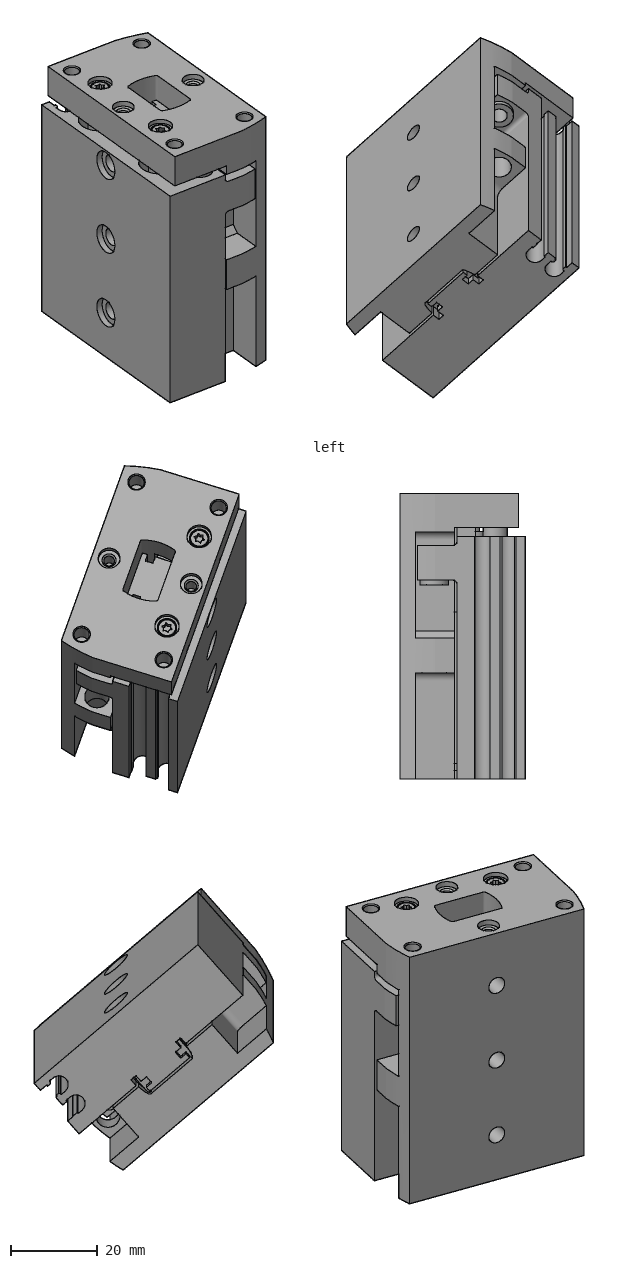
import cadquery as cq
import math

TOTAL_HEIGHT = 66.0
TOTAL_DEPTH = 29.0
HOUSING_WIDTH = 50.0
HOUSING_HALF = HOUSING_WIDTH / 2
HOUSING_HEIGHT = 56.05
HOUSING_BACK_Y = 15.85

END_PLATE_BOTTOM_Z = 58.1
END_PLATE_FRONT_Y = 1.6
SLIDE_FRONT_Y = 16.45
SLIDE_HALF = 24.7
FLANK_START_Y = 20.8
FLANK_MID_Y = 24.95
FLANK_MID_HALF = 24.0
BACK_HALF = 23.0

POCKET_BACK_Y = 25.4
POCKET_INNER_X = 15.1
POCKET_CORNER_RADIUS = 1.8
POCKET_CHAMFER = 1.6
LEFT_POCKET_TOP_Z = 57.0
RIGHT_POCKET_TOP_Z = 55.8
RIB_TOP_Z = 32.6
RIB_BOTTOM_Z = 24.55

GUIDE_BACK_Y = 19.55
GUIDE_FRONT_Y = 11.0
GUIDE_END_HALF = 6.6
GUIDE_MID_HALF = 7.4
GUIDE_CORNER_RADIUS = 0.5
RAIL_HALF = 6.1
RAIL_FRONT_Y = 11.55
RAIL_BACK_Y = 18.95
RAIL_TOP_Z = 59.8
RACE_FRONT_Y = 15.85
RACE_BACK_Y = 17.7
RACE_HALF = 4.4
TRENCH_HALF = 7.6
TRENCH_FLOOR_Y = 14.05
RUNNER_FRONT_Y = 14.45
RUNNER_TOP_Z = 38.55
RUNNER_BOTTOM_Z = 3.55
SEAL_BOTTOM_Z = 2.05
SEAL_HALF = 6.85

MOUNT_X = 20.0
MOUNT_FRONT_Y = 5.0
MOUNT_BACK_Y = MOUNT_FRONT_Y + MOUNT_X
MOUNT_DIA = 3.5
MOUNT_MOUTH_DIA = 4.0
PLATE_HOLE_DEPTH = 5.95
DOWEL_RECESS_DIA = 5.0
DOWEL_RECESS_DEPTH = 1.3
DOWEL_MOUTH_DIA = 3.25
DOWEL_DIA = 2.45

ROD_X = 11.75
ROD_Y = 7.0
ROD_DIA = 5.6
ROD_END_Z = 46.2
CYLINDER_DIA = 10.0
CYLINDER_DEPTH = 5.55
SCREW_RECESS_DIA = 5.6
SCREW_RECESS_DEPTH = 1.05
SCREW_SEAT_DIA = 4.5
SCREW_HEAD_DIA = 4.0
SCREW_GROOVE_DEPTH = 0.4
STAR_OUTER_DIA = 2.45
STAR_INNER_DIA = 1.6
STAR_LOBES = 6
STAR_DEPTH = 1.3

BOLT_ROW_PITCH = 20.0
BOLT_MID_Z = 32.0
BOLT_DIA = 4.15
BOLT_HEAD_DIA = 7.0
BOLT_HEAD_DEPTH = 1.5

SLOT_DIA = 4.15
SLOT_CENTER_X = -20.85
SLOT_SHOULDER_X = -22.05
REAR_SLOT_Y = 9.95
REAR_SLOT_MOUTH = 3.5
REAR_LIP_WIDTH = 3.7
FRONT_SLOT_Y = 4.0
FRONT_SLOT_MOUTH = 2.9
FRONT_LIP_WIDTH = 3.6
FRONT_LIP_X = -23.1
LAND_X = -23.4

EAR_BACK_Y = 24.9
EAR_BACK_HALF = 24.3
EAR_MID_Y = 23.0
EAR_MID_HALF = 24.7
EAR_INNER_X = 15.2
EAR_BOTTOM_Z = 45.95
EAR_TOP_Z = 54.0
EAR_FILLET = 0.9
ABSORBER_X = -20.7
ABSORBER_Y = 21.05
ABSORBER_DIA = 6.6
ABSORBER_DROP = 1.05
RIB_HOLE_DIA = 5.6
ABSORBER_BORE_DIA = 3.7

STOP_X = MOUNT_X
STOP_Y = 12.2
STOP_DIA = 6.0
STOP_TOP_Z = 57.2
STOP_TIP_DIA = 3.25


def block(x0, x1, y0, y1, z0, z1):
    return cq.Workplane("XY").box(x1 - x0, y1 - y0, z1 - z0, centered=False).translate((x0, y0, z0))


def upright(x, y, diameter, z0, z1):
    return cq.Workplane("XY", origin=(x, y, z0)).circle(diameter / 2).extrude(z1 - z0)


def cone(x, y, top_diameter, bottom_diameter, top_z):
    """A 45 degree countersink whose wide end lies at top_z."""
    depth = (top_diameter - bottom_diameter) / 2
    return (
        cq.Workplane("XY", origin=(x, y, top_z))
        .circle(top_diameter / 2)
        .workplane(offset=-depth)
        .circle(bottom_diameter / 2)
        .loft()
    )


def bolt_holes(diameter, y0, y1):
    """Three holes along Y, one above the other on the centre line."""
    holes = cq.Workplane("XY")
    for row in (-1, 0, 1):
        hole = cq.Workplane("XZ", origin=(0, y1, BOLT_MID_Z + row * BOLT_ROW_PITCH))
        holes = holes.add(hole.circle(diameter / 2).extrude(y1 - y0))
    return holes.combine()


def slide_outline(front_y):
    """Plan outline with straight sides and curved flanks that narrow to the back."""
    return (
        cq.Workplane("XY")
        .moveTo(-SLIDE_HALF, front_y)
        .lineTo(SLIDE_HALF, front_y)
        .lineTo(SLIDE_HALF, FLANK_START_Y)
        .threePointArc((FLANK_MID_HALF, FLANK_MID_Y), (BACK_HALF, TOTAL_DEPTH))
        .lineTo(-BACK_HALF, TOTAL_DEPTH)
        .threePointArc((-FLANK_MID_HALF, FLANK_MID_Y), (-SLIDE_HALF, FLANK_START_Y))
        .close()
    )


def guide_prism(z0, z1):
    """Barrel-shaped prism with two bulging sides, centred on the guide."""
    mid_y = (GUIDE_FRONT_Y + GUIDE_BACK_Y) / 2
    return (
        cq.Workplane("XY", origin=(0, 0, z0))
        .moveTo(-GUIDE_END_HALF, GUIDE_FRONT_Y)
        .lineTo(GUIDE_END_HALF, GUIDE_FRONT_Y)
        .threePointArc((GUIDE_MID_HALF, mid_y), (GUIDE_END_HALF, GUIDE_BACK_Y))
        .lineTo(-GUIDE_END_HALF, GUIDE_BACK_Y)
        .threePointArc((-GUIDE_MID_HALF, mid_y), (-GUIDE_END_HALF, GUIDE_FRONT_Y))
        .close()
        .extrude(z1 - z0)
        .edges("|Z")
        .fillet(GUIDE_CORNER_RADIUS)
    )


def runner():
    """Two legs that straddle the rail, with a tongue each in the rail's races."""
    legs = guide_prism(RUNNER_BOTTOM_Z, RUNNER_TOP_Z)
    seal = guide_prism(SEAL_BOTTOM_Z, RUNNER_BOTTOM_Z)
    seal = seal.intersect(
        block(-SEAL_HALF, SEAL_HALF, GUIDE_FRONT_Y, GUIDE_BACK_Y, SEAL_BOTTOM_Z, RUNNER_BOTTOM_Z)
    )
    legs = legs.union(seal)
    legs = legs.cut(block(-RAIL_HALF, RAIL_HALF, GUIDE_FRONT_Y, GUIDE_BACK_Y, 0, TOTAL_HEIGHT))
    legs = legs.cut(block(-HOUSING_HALF, HOUSING_HALF, 0, RUNNER_FRONT_Y, 0, TOTAL_HEIGHT))
    for x0, x1 in ((-RAIL_HALF, -RACE_HALF), (RACE_HALF, RAIL_HALF)):
        legs = legs.union(block(x0, x1, RACE_FRONT_Y, RACE_BACK_Y, SEAL_BOTTOM_Z, RUNNER_TOP_Z))
    return legs


def left_pocket(z0, z1):
    return block(-HOUSING_WIDTH, -POCKET_INNER_X, 0, POCKET_BACK_Y, z0, z1)


def pocket_pair(top_z):
    """The pockets above and below the rib on the left, with rounded and chamfered inner corners."""
    upper = left_pocket(RIB_TOP_Z, top_z)
    upper = upper.edges("|Y and >X and >Z").fillet(POCKET_CORNER_RADIUS)
    upper = upper.edges("|Y and >X and <Z").chamfer(POCKET_CHAMFER)
    lower = left_pocket(0, RIB_BOTTOM_Z)
    lower = lower.edges("|Y and >X and >Z").fillet(POCKET_CORNER_RADIUS)
    pockets = upper.union(lower)
    return pockets.intersect(
        block(-HOUSING_WIDTH, 0, SLIDE_FRONT_Y, POCKET_BACK_Y, 0, top_z)
    )


def star_socket(x, y, top_z):
    points = []
    for i in range(2 * STAR_LOBES):
        radius = (STAR_OUTER_DIA if i % 2 == 0 else STAR_INNER_DIA) / 2
        angle = math.pi / 2 + i * math.pi / STAR_LOBES
        points.append((radius * math.cos(angle), radius * math.sin(angle)))
    return cq.Workplane("XY", origin=(x, y, top_z)).polyline(points).close().extrude(-STAR_DEPTH)


def cut_plate_holes(body):
    hole_bottom = TOTAL_HEIGHT - PLATE_HOLE_DEPTH
    for y in (MOUNT_FRONT_Y, MOUNT_BACK_Y):
        for x in (-MOUNT_X, MOUNT_X):
            body = body.cut(upright(x, y, MOUNT_DIA, hole_bottom, TOTAL_HEIGHT))
            body = body.cut(cone(x, y, MOUNT_MOUTH_DIA, MOUNT_DIA, TOTAL_HEIGHT))
        recess_z = TOTAL_HEIGHT - DOWEL_RECESS_DEPTH
        body = body.cut(upright(0, y, DOWEL_RECESS_DIA, recess_z, TOTAL_HEIGHT))
        body = body.cut(cone(0, y, DOWEL_MOUTH_DIA, DOWEL_DIA, recess_z))
        body = body.cut(upright(0, y, DOWEL_DIA, hole_bottom, recess_z))
    return body


def add_rod(body, x):
    """A piston rod under the end plate, held by a sunk screw with a star socket."""
    seat_z = TOTAL_HEIGHT - SCREW_RECESS_DEPTH
    body = body.union(upright(x, ROD_Y, ROD_DIA, ROD_END_Z, END_PLATE_BOTTOM_Z))
    body = body.cut(upright(x, ROD_Y, SCREW_RECESS_DIA, seat_z, TOTAL_HEIGHT))
    groove = upright(x, ROD_Y, SCREW_SEAT_DIA, seat_z - SCREW_GROOVE_DEPTH, seat_z)
    groove = groove.cut(upright(x, ROD_Y, SCREW_HEAD_DIA, seat_z - SCREW_GROOVE_DEPTH, seat_z))
    return body.cut(groove).cut(star_socket(x, ROD_Y, seat_z))


def make_slide():
    body = slide_outline(SLIDE_FRONT_Y).extrude(TOTAL_HEIGHT)
    end_plate = slide_outline(END_PLATE_FRONT_Y).extrude(TOTAL_HEIGHT - END_PLATE_BOTTOM_Z)
    body = body.union(end_plate.translate((0, 0, END_PLATE_BOTTOM_Z)))
    body = body.cut(guide_prism(0, TOTAL_HEIGHT)).union(runner())
    body = body.cut(pocket_pair(LEFT_POCKET_TOP_Z))
    body = body.cut(pocket_pair(RIGHT_POCKET_TOP_Z).mirror("YZ"))
    body = body.cut(upright(ABSORBER_X, ABSORBER_Y, RIB_HOLE_DIA, RIB_BOTTOM_Z, RIB_TOP_Z))
    body = cut_plate_holes(body)
    for x in (-ROD_X, ROD_X):
        body = add_rod(body, x)
    return body.cut(bolt_holes(BOLT_DIA, GUIDE_BACK_Y, TOTAL_DEPTH))


def slot_stretch(x0, x1, y, width):
    return block(x0, x1, y - width / 2, y + width / 2, 0, HOUSING_HEIGHT)


def sensor_slot(y, mouth, lip_width, lip_x):
    """A slot along Z with a round bottom, entered from the left through a narrower stepped mouth."""
    slot = upright(SLOT_CENTER_X, y, SLOT_DIA, 0, HOUSING_HEIGHT)
    slot = slot.union(slot_stretch(SLOT_SHOULDER_X, SLOT_CENTER_X, y, SLOT_DIA))
    slot = slot.union(slot_stretch(lip_x, SLOT_SHOULDER_X, y, mouth))
    return slot.union(slot_stretch(-HOUSING_HALF, lip_x, y, lip_width))


def cut_sensor_slots(body):
    body = body.cut(block(-HOUSING_HALF, LAND_X, FRONT_SLOT_Y, REAR_SLOT_Y, 0, HOUSING_HEIGHT))
    body = body.cut(sensor_slot(REAR_SLOT_Y, REAR_SLOT_MOUTH, REAR_LIP_WIDTH, LAND_X))
    return body.cut(sensor_slot(FRONT_SLOT_Y, FRONT_SLOT_MOUTH, FRONT_LIP_WIDTH, FRONT_LIP_X))


def left_ear():
    """A lug behind the housing with fillets above and below its root."""
    side = (
        cq.Workplane("YZ", origin=(-HOUSING_HALF, 0, 0))
        .moveTo(HOUSING_BACK_Y, EAR_BOTTOM_Z - EAR_FILLET)
        .radiusArc((HOUSING_BACK_Y + EAR_FILLET, EAR_BOTTOM_Z), EAR_FILLET)
        .lineTo(EAR_BACK_Y, EAR_BOTTOM_Z)
        .lineTo(EAR_BACK_Y, EAR_TOP_Z)
        .lineTo(HOUSING_BACK_Y + EAR_FILLET, EAR_TOP_Z)
        .radiusArc((HOUSING_BACK_Y, EAR_TOP_Z + EAR_FILLET), EAR_FILLET)
        .close()
        .extrude(HOUSING_HALF - EAR_INNER_X)
    )
    plan = (
        cq.Workplane("XY")
        .moveTo(-EAR_INNER_X, HOUSING_BACK_Y)
        .lineTo(-HOUSING_HALF, HOUSING_BACK_Y)
        .lineTo(-HOUSING_HALF, FLANK_START_Y)
        .threePointArc((-EAR_MID_HALF, EAR_MID_Y), (-EAR_BACK_HALF, EAR_BACK_Y))
        .lineTo(-EAR_INNER_X, EAR_BACK_Y)
        .close()
        .extrude(HOUSING_HEIGHT)
    )
    return side.intersect(plan)


def add_rail(body):
    body = body.cut(
        block(-TRENCH_HALF, TRENCH_HALF, TRENCH_FLOOR_Y, HOUSING_BACK_Y, 0, HOUSING_HEIGHT)
    )
    rail = block(-RAIL_HALF, RAIL_HALF, RAIL_FRONT_Y, RAIL_BACK_Y, 0, RAIL_TOP_Z)
    for x0, x1 in ((-RAIL_HALF, -RACE_HALF), (RACE_HALF, RAIL_HALF)):
        rail = rail.cut(block(x0, x1, RACE_FRONT_Y, RACE_BACK_Y, 0, RAIL_TOP_Z))
    return body.union(rail)


def make_housing():
    body = block(-HOUSING_HALF, HOUSING_HALF, 0, HOUSING_BACK_Y, 0, HOUSING_HEIGHT)
    body = cut_sensor_slots(body)
    body = add_rail(body)
    for x in (-ROD_X, ROD_X):
        body = body.cut(upright(x, ROD_Y, CYLINDER_DIA, HOUSING_HEIGHT - CYLINDER_DEPTH, HOUSING_HEIGHT))
        body = body.cut(upright(x, ROD_Y, ROD_DIA, ROD_END_Z, HOUSING_HEIGHT))
    body = body.union(left_ear()).union(left_ear().mirror("YZ"))
    absorber_end_z = EAR_BOTTOM_Z - ABSORBER_DROP
    body = body.union(upright(ABSORBER_X, ABSORBER_Y, ABSORBER_DIA, absorber_end_z, EAR_BOTTOM_Z))
    body = body.cut(upright(ABSORBER_X, ABSORBER_Y, ABSORBER_BORE_DIA, absorber_end_z, EAR_TOP_Z))
    body = body.union(upright(STOP_X, STOP_Y, STOP_DIA, HOUSING_HEIGHT, STOP_TOP_Z))
    body = body.union(upright(STOP_X, STOP_Y, STOP_TIP_DIA, STOP_TOP_Z, END_PLATE_BOTTOM_Z))
    body = body.cut(bolt_holes(BOLT_DIA, 0, RAIL_BACK_Y))
    return body.cut(bolt_holes(BOLT_HEAD_DIA, 0, BOLT_HEAD_DEPTH))


slide = make_slide()
housing = make_housing()

result = cq.Compound.makeCompound([slide.solids().val(), housing.solids().val()])